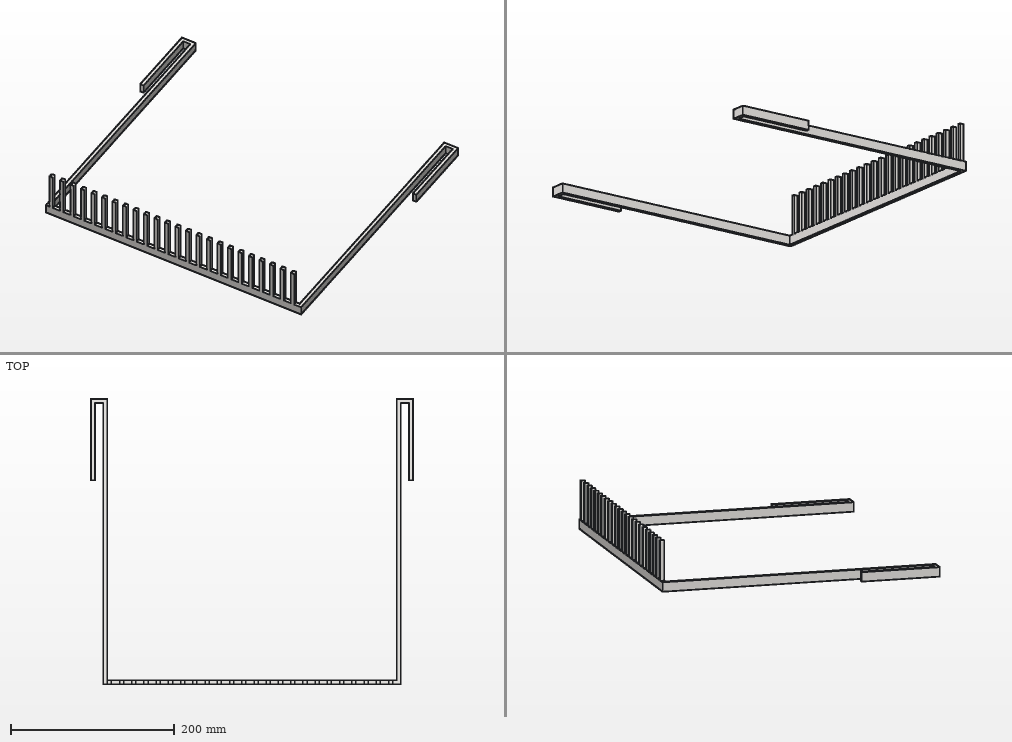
import cadquery as cq

OVERALL_WIDTH = 395.0
OVERALL_DEPTH = 350.0
OVERALL_HEIGHT = 62.0
STRIP_HEIGHT = 12.0
HOOK_LENGTH = 100.0
PIN_COUNT = 24
PIN_TIP_RADIUS = 1.0

PIN_GAP_COUNT = 2
HOOK_GAP_COUNT = 2
LAST_PIN_GAP_COUNT = 1

INSIDE_COUNT = PIN_COUNT + (PIN_COUNT - 1) * PIN_GAP_COUNT + LAST_PIN_GAP_COUNT
SIDE_COUNT = 1 + HOOK_GAP_COUNT + 1
THICKNESS = OVERALL_WIDTH / (INSIDE_COUNT + 2 * SIDE_COUNT)

PIN_PITCH = (1 + PIN_GAP_COUNT) * THICKNESS
HOOK_WIDTH = SIDE_COUNT * THICKNESS
INSIDE_WIDTH = INSIDE_COUNT * THICKNESS
ARM_SPAN = INSIDE_WIDTH + 2 * THICKNESS

LEFT = -OVERALL_WIDTH / 2
RIGHT = OVERALL_WIDTH / 2
FRONT = -OVERALL_DEPTH / 2
BACK = OVERALL_DEPTH / 2


def block(x, y, width, depth, height):
    """Box standing on Z = 0 with its left front corner at (x, y)."""
    return cq.Workplane("XY").box(width, depth, height, centered=False).translate((x, y, 0))


def side_strip(arm_x, hook_x, finger_x):
    """Long arm whose back end turns outward and returns as a hook finger."""
    arm = block(arm_x, FRONT, THICKNESS, OVERALL_DEPTH, STRIP_HEIGHT)
    bridge = block(hook_x, BACK - THICKNESS, HOOK_WIDTH, THICKNESS, STRIP_HEIGHT)
    finger = block(finger_x, BACK - HOOK_LENGTH, THICKNESS, HOOK_LENGTH, STRIP_HEIGHT)
    return arm.union(bridge).union(finger)


def pin(x):
    """Square pin with its left side at x and the left and right edges of its tip rounded."""
    post = block(x, FRONT, THICKNESS, THICKNESS, OVERALL_HEIGHT)
    return post.faces(">Z").edges("|Y").fillet(PIN_TIP_RADIUS)


result = block(-ARM_SPAN / 2, FRONT, ARM_SPAN, THICKNESS, STRIP_HEIGHT)

result = result.union(side_strip(-ARM_SPAN / 2, LEFT, LEFT))
result = result.union(side_strip(INSIDE_WIDTH / 2, RIGHT - HOOK_WIDTH, RIGHT - THICKNESS))

for index in range(PIN_COUNT):
    result = result.union(pin(-INSIDE_WIDTH / 2 + index * PIN_PITCH))

result = result.clean()